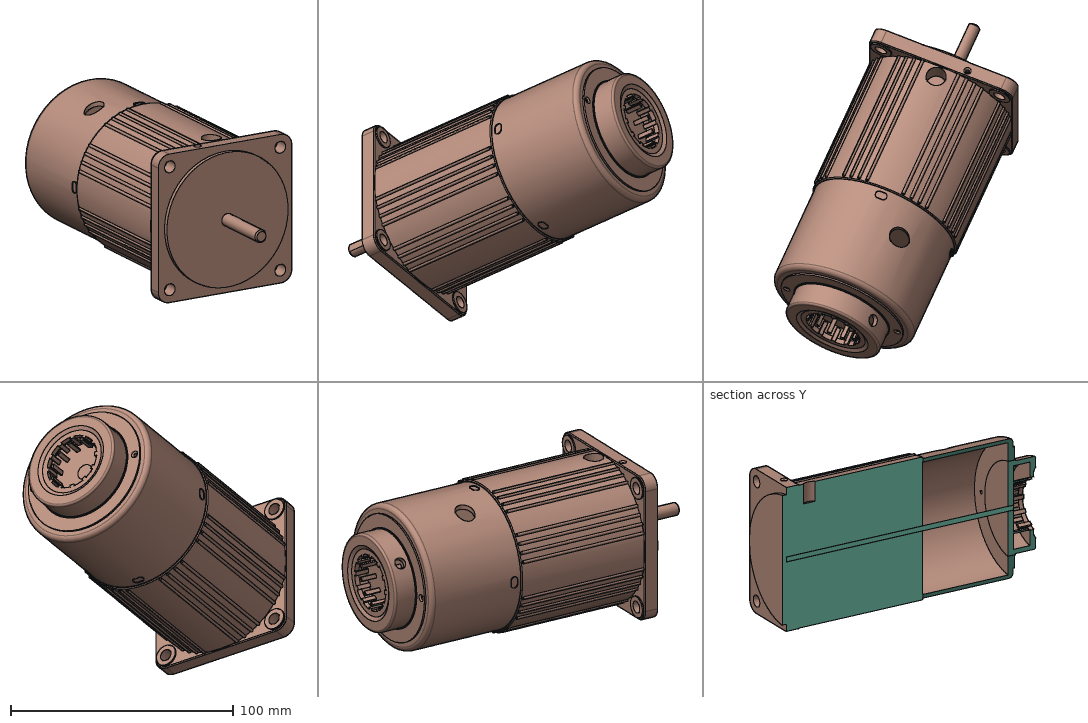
import cadquery as cq
import math

overall_length = 163.5
hub_socket_floor_x = 11.6
hub_collar_x = 10.6
boss_face_x = 11.1
cover_back_x = 12.0
cover_wall_inner_x = 14.7
housing_back_x = 59.5
pad_face_x = 124.1
flange_back_x = 124.8
flange_front_x = 131.6
pilot_front_x = 133.7

hub_radius = 22.9
hub_collar_radius = 23.4
hub_edge_fillet = 1.0
socket_mouth_radius = 17.5
socket_face_radius = 15.7
socket_mouth_depth = 1.0
socket_bore_radius = 13.16
tooth_tip_radius = 12.18
tooth_width = 2.0
teeth_per_ring = 12
front_plate_end_x = 3.3
cavity_radius = 20.5
front_teeth_end_x = 7.7
back_teeth_start_x = 4.0
set_screw_radius = 2.6
set_screw_x = 6.0
set_screw_angle = 40.0

cover_radius = 34.2
cover_fillet = 2.3
cover_wall = 2.0
boss_radius = 29.8
cable_hole_radius = 4.5
cover_hole_x = 41.9
cover_hole_y = -15.0
back_screw_offset = 27.0
slot_x = 56.2
slot_width = 3.5
slot_length = 5.4
slot_corner_radius = 1.6
slot_depth = 0.5

flange_side = 70.0
flange_corner_radius = 5.7
flange_edge_chamfer = 0.5
housing_radius = flange_side / 2
housing_chamfer = 0.5
rib_radius = 0.74
rib_end_chamfer = 0.5
rib_start_x = 60.3
rib_first_angle = 14.5
rib_pitch_angle = 6.9
ribs_per_group = 4
housing_hole_x = 119.5
housing_hole_depth = 9.8
pilot_radius = 31.7
mount_hole_offset = 29.0
mount_hole_radius = 2.8
pad_radius = 5.0
top_screw_x = 127.5
top_screw_y = -12.0

tapped_mouth_radius = 1.6
tapped_bore_radius = 0.8
tapped_mouth_depth = 0.7
tapped_depth = 3.3

shaft_back_radius = 3.68
shaft_front_radius = 3.0
shaft_end_chamfer = 0.7
shaft_flat_start_x = 143.2
shaft_flat_y = 2.3

quarter_turns = (0, 90, 180, 270)
x_axis = ((0, 0, 0), (1, 0, 0))


def cylinder(radius, start_x, end_x, y=0.0, z=0.0):
    """Cylinder along X between two stations."""
    plane = cq.Plane(origin=(start_x, y, z), xDir=(0, 1, 0), normal=(1, 0, 0))
    return cq.Workplane(plane).circle(radius).extrude(end_x - start_x)


def tapped_hole(mouth, direction):
    """Cutter for a tapped hole with a countersunk mouth, drilled from `mouth` along `direction`."""
    bore = cq.Solid.makeCylinder(tapped_bore_radius, tapped_depth, mouth, direction)
    countersink = cq.Solid.makeCone(
        tapped_mouth_radius, tapped_bore_radius, tapped_mouth_depth, mouth, direction
    )
    return cq.Workplane(bore.fuse(countersink))


def make_shaft():
    """Stepped shaft with a flat at its front end."""
    back = cylinder(shaft_back_radius, hub_socket_floor_x, flange_front_x)
    front = cylinder(shaft_front_radius, flange_front_x, overall_length)
    front = front.faces(">X").chamfer(shaft_end_chamfer)
    flat_length = overall_length - shaft_flat_start_x
    flat = cq.Workplane("XY").box(
        flat_length, shaft_front_radius, 2 * shaft_front_radius, centered=(False, False, True)
    )
    return back.union(front).cut(flat.translate((shaft_flat_start_x, shaft_flat_y, 0)))


def tooth_ring(start_x, end_x, first_angle):
    """Evenly spaced teeth from the tip radius to beyond the socket bore."""
    height = socket_face_radius - tooth_tip_radius
    tooth = cq.Workplane("XY").box(end_x - start_x, tooth_width, height, centered=(False, True, False))
    tooth = tooth.translate((start_x, 0, tooth_tip_radius))
    pitch = 360 / teeth_per_ring
    return [tooth.rotate(*x_axis, first_angle + index * pitch) for index in range(teeth_per_ring)]


def make_toothed_socket():
    """Cutter for the socket: conical mouth, bore with two interleaved tooth rings, and ring cavity."""
    mouth = cq.Workplane(cq.Solid.makeCone(
        socket_mouth_radius, socket_face_radius, socket_mouth_depth, cq.Vector(0, 0, 0), cq.Vector(1, 0, 0)
    ))
    bore = cylinder(socket_bore_radius, socket_mouth_depth, hub_socket_floor_x)
    front_teeth = tooth_ring(socket_mouth_depth, front_teeth_end_x, 0)
    back_teeth = tooth_ring(back_teeth_start_x, hub_socket_floor_x, 180 / teeth_per_ring)
    for tooth in front_teeth + back_teeth:
        bore = bore.cut(tooth)
    cavity = cylinder(cavity_radius, front_plate_end_x, hub_socket_floor_x)
    cavity = cavity.cut(cylinder(socket_bore_radius, front_plate_end_x, hub_socket_floor_x))
    return mouth.union(bore).union(cavity)


def make_hub():
    """Hub on the back end of the shaft, with a set screw hole into its cavity."""
    hub = cylinder(hub_radius, 0, cover_wall_inner_x)
    hub = hub.faces("<X").edges().fillet(hub_edge_fillet)
    hub = hub.union(cylinder(hub_collar_radius, hub_collar_x, cover_wall_inner_x))
    hub = hub.cut(make_toothed_socket())
    hub = hub.cut(cylinder(shaft_back_radius, hub_socket_floor_x, cover_wall_inner_x))
    angle = math.radians(set_screw_angle)
    outward = cq.Vector(0, -math.cos(angle), math.sin(angle))
    hole_start = outward * socket_face_radius + cq.Vector(set_screw_x, 0, 0)
    set_screw_hole = cq.Solid.makeCylinder(set_screw_radius, hub_radius, hole_start, outward)
    return hub.cut(cq.Workplane(set_screw_hole))


def make_cover():
    """Hollow cover, open toward the housing, with a slot on each of its four sides."""
    cover = cylinder(cover_radius, cover_back_x, housing_back_x)
    cover = cover.faces("<X").edges().fillet(cover_fillet)
    cover = cover.union(cylinder(boss_radius, boss_face_x, cover_wall_inner_x))
    cover = cover.cut(cylinder(cover_radius - cover_wall, cover_wall_inner_x, housing_back_x))
    cover = cover.cut(cylinder(hub_collar_radius, boss_face_x, cover_wall_inner_x))
    cable_hole = cq.Workplane("XY").center(cover_hole_x, cover_hole_y).circle(cable_hole_radius)
    cover = cover.cut(cable_hole.extrude(cover_radius))
    for side in (-1, 1):
        mouth = cq.Vector(boss_face_x, side * back_screw_offset, 0)
        cover = cover.cut(tapped_hole(mouth, cq.Vector(1, 0, 0)))
    slot = cq.Workplane("XY").box(slot_width, slot_length, 2 * slot_depth)
    slot = slot.edges("|Z").fillet(slot_corner_radius).translate((slot_x, 0, cover_radius))
    for turn in quarter_turns:
        cover = cover.cut(slot.rotate(*x_axis, turn))
    return cover


def make_flange():
    """Square flange with a round pilot and a raised pad around each corner hole."""
    flange = cq.Workplane("YZ").rect(flange_side, flange_side).extrude(flange_front_x - flange_back_x)
    flange = flange.edges("|X").fillet(flange_corner_radius)
    flange = flange.faces("<X").chamfer(flange_edge_chamfer).translate((flange_back_x, 0, 0))
    flange = flange.union(cylinder(pilot_radius, flange_back_x, pilot_front_x))
    sides = (-mount_hole_offset, mount_hole_offset)
    corners = [(y, z) for y in sides for z in sides]
    for y, z in corners:
        flange = flange.union(cylinder(pad_radius, pad_face_x, flange_front_x, y, z))
        flange = flange.cut(cylinder(mount_hole_radius, pad_face_x, flange_front_x, y, z))
    mouth = cq.Vector(top_screw_x, top_screw_y, flange_side / 2)
    return flange.cut(tapped_hole(mouth, cq.Vector(0, 0, -1)))


def make_barrel():
    """Round barrel with ribs along it, in groups of four on either side of each quarter's diagonal."""
    barrel = cylinder(housing_radius, housing_back_x, flange_back_x)
    barrel = barrel.faces("<X").chamfer(housing_chamfer)
    rib = cylinder(rib_radius, rib_start_x, flange_back_x, housing_radius)
    rib = rib.faces("<X").chamfer(rib_end_chamfer)
    for quarter_turn in quarter_turns:
        for index in range(ribs_per_group):
            angle = rib_first_angle + index * rib_pitch_angle
            for turn in (angle, 90 - angle):
                barrel = barrel.union(rib.rotate(*x_axis, quarter_turn + turn))
    cable_hole = cq.Workplane("XY").center(housing_hole_x, 0).circle(cable_hole_radius)
    cable_hole = cable_hole.extrude(housing_radius).translate((0, 0, flange_side / 2 - housing_hole_depth))
    return barrel.cut(cable_hole)


def make_housing():
    """Barrel and flange in one piece, bored for the stepped shaft."""
    housing = make_barrel().union(make_flange())
    housing = housing.cut(cylinder(shaft_back_radius, housing_back_x, flange_front_x))
    return housing.cut(cylinder(shaft_front_radius, flange_front_x, pilot_front_x))


shaft = make_shaft()
hub = make_hub()
cover = make_cover()
housing = make_housing()

result = cq.Compound.makeCompound([shaft.val(), hub.val(), cover.val(), housing.val()])